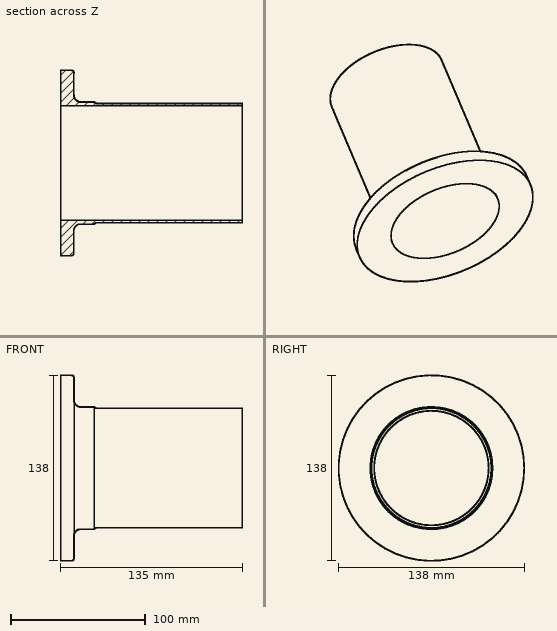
import cadquery as cq

total_length = 135.0
flange_diameter = 138.0
flange_thickness = 10.0
flange_edge_radius = 2.0
collar_diameter = 91.0
collar_end = 25.1
blend_length = 2.0
tube_diameter = 88.9
bore_diameter = 84.9
neck_radius = 5.0


def cylinder(diameter, start, end):
    """Solid cylinder along X between two positions."""
    return cq.Workplane("YZ").workplane(offset=start).circle(diameter / 2).extrude(end - start)


def make_flange():
    """Disc with a rounded outer edge on its tube side."""
    disc = cylinder(flange_diameter, 0, flange_thickness)
    return disc.faces(">X").edges().fillet(flange_edge_radius)


def make_neck():
    """Concave flare from the flange, straight collar and concave blend, tangent to the tube."""
    collar_radius = collar_diameter / 2
    neck_end = flange_thickness + neck_radius
    diagonal = neck_radius * 0.5 ** 0.5
    tube_radius = tube_diameter / 2
    step = collar_radius - tube_radius
    blend_radius = (blend_length ** 2 + step ** 2) / (2 * step)
    return (
        cq.Workplane("XY")
        .moveTo(0, 0)
        .lineTo(0, collar_radius + neck_radius)
        .lineTo(flange_thickness, collar_radius + neck_radius)
        .threePointArc(
            (neck_end - diagonal, collar_radius + neck_radius - diagonal),
            (neck_end, collar_radius),
        )
        .lineTo(collar_end, collar_radius)
        .radiusArc((collar_end + blend_length, tube_radius), -blend_radius)
        .lineTo(collar_end + blend_length, 0)
        .close()
        .revolve(360, (0, 0, 0), (1, 0, 0))
    )


tube = cylinder(tube_diameter, 0, total_length)
bore = cylinder(bore_diameter, 0, total_length)

result = make_flange().union(make_neck()).union(tube).cut(bore)